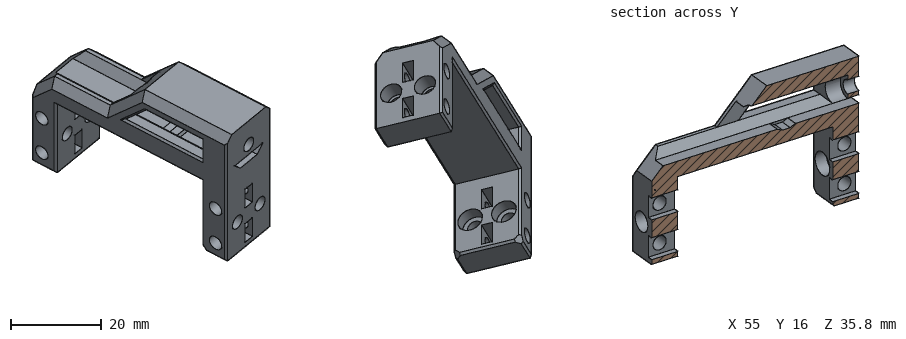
import cadquery as cq
import math

length = 55.0
width = 16.0
height = 35.8

leg_thickness = 7.0
underside_z = 20.0
deck_z = 26.0
front_bevel = 5.0
ramp_start_x = 20.7
ramp_end_x = ramp_start_x + height - deck_z
right_leg_x = length - leg_thickness

top_chamfer = 2.0
edge_chamfer = 0.5
corner_cut = 2.0
tolerance = 0.01

window_wall = 4.0
window_top_z = height - window_wall
ramp_wall_run = window_wall * math.sqrt(2)
window_start_x = ramp_start_x + ramp_wall_run
window_height = window_top_z - deck_z

trough_top_width = 10.0
trough_depth = 2.0
trough_floor_width = trough_top_width - 2 * trough_depth
trough_floor_z = deck_z - trough_depth
ramp_opening_top_z = 31.0

dip_end_x = 38.1
dip_depth = 0.65
dip_slope_run = 1.4
dip_bottom_length = 2.0

hole_diameter = 3.5
left_counterbore_diameter = 5.0
left_counterbore_depth = 4.0
right_counterbore_diameter = 5.8
right_counterbore_depth = 3.0
latch_bore_diameter = window_height
latch_bore_depth = 4.0
latch_axis_z = (deck_z + window_top_z) / 2
leg_hole_z = 9.0
leg_hole_offset_y = 4.0
cross_hole_inset = 3.0
cross_hole_heights = (4.0, 14.0)
nut_slot_width = 2.6
nut_slot_height = 5.4


def side_profile(points):
    """Extrude an XZ outline across the full width, centred on Y."""
    return cq.Workplane("XZ").polyline(points).close().extrude(width / 2, both=True)


def x_cylinder(diameter, start_x, end_x, y, z):
    """Cylinder along X between two X positions."""
    return (
        cq.Workplane("YZ", origin=(start_x, y, z))
        .circle(diameter / 2)
        .extrude(end_x - start_x)
    )


def x_box(start_x, end_x, size_y, bottom_z, top_z):
    """Box centred on Y between two X and two Z positions."""
    return (
        cq.Workplane("XY", origin=(start_x, 0, bottom_z))
        .box(end_x - start_x, size_y, top_z - bottom_z, centered=(False, True, False))
    )


def side_face_edges(body, upper):
    """Edges of both side faces whose midpoint is above, or not above, the bridge underside."""
    edges = body.faces("<Y or >Y").edges()
    return edges.filter(lambda edge: (edge.Center().z > underside_z + tolerance) == upper)


def make_bridge():
    """Two legs joined by the deck, the ramp and the raised roof, with chamfered side edges."""
    outline = [
        (0, deck_z - front_bevel),
        (front_bevel, deck_z),
        (ramp_start_x, deck_z),
        (ramp_end_x, height),
        (length, height),
        (length, 0),
        (right_leg_x + edge_chamfer, 0),
        (right_leg_x, edge_chamfer),
        (right_leg_x, underside_z),
        (leg_thickness, underside_z),
        (leg_thickness, 0),
        (0, 0),
    ]
    body = side_profile(outline)
    body = side_face_edges(body, upper=True).chamfer(top_chamfer)
    return side_face_edges(body, upper=False).chamfer(edge_chamfer)


def cut_corners(body):
    """Cut the two lower inner corners of the right leg equally along all three axes."""
    for side in (-1, 1):
        corner = cq.Vector(right_leg_x, side * width / 2, 0)
        tips = [
            corner + cq.Vector(corner_cut, 0, 0),
            corner - cq.Vector(0, side * corner_cut, 0),
            corner + cq.Vector(0, 0, corner_cut),
        ]
        triangles = [
            (tips[0], tips[1], tips[2]),
            (corner, tips[0], tips[1]),
            (corner, tips[1], tips[2]),
            (corner, tips[2], tips[0]),
        ]
        faces = [cq.Face.makeFromWires(cq.Wire.makePolygon(points, close=True)) for points in triangles]
        body = body.cut(cq.Workplane(cq.Solid.makeSolid(cq.Shell.makeShell(faces))))
    return body


def cut_window(body):
    """Open the chamfered window between the deck and the roof."""
    window = [
        (window_start_x, deck_z),
        (window_start_x + window_height, window_top_z),
        (right_leg_x, window_top_z),
        (right_leg_x, deck_z),
    ]
    body = body.cut(side_profile(window))
    rims = [face.innerWires()[0] for face in body.faces("<Y or >Y").vals()]
    rim_edges = [edge for rim in rims for edge in rim.Edges()]
    return body.newObject(rim_edges).chamfer(edge_chamfer)


def cut_trough(body):
    """Cut the sloped-side trough along the deck and the opening it needs through the ramp."""
    trough = (
        cq.Workplane("YZ")
        .polyline([
            (-trough_floor_width / 2, trough_floor_z),
            (trough_floor_width / 2, trough_floor_z),
            (trough_top_width / 2, deck_z),
            (-trough_top_width / 2, deck_z),
        ])
        .close()
        .extrude(length)
    )
    opening = x_box(0, right_leg_x, trough_top_width, deck_z, ramp_opening_top_z)
    return body.cut(trough).cut(opening)


def cut_floor_dip(body):
    """Sink a shallow dip with sloped ends into the trough floor."""
    bottom_z = trough_floor_z - dip_depth
    bottom_end_x = dip_end_x - dip_slope_run
    bottom_start_x = bottom_end_x - dip_bottom_length
    dip = (
        cq.Workplane("XZ")
        .polyline([
            (dip_end_x, trough_floor_z),
            (bottom_end_x, bottom_z),
            (bottom_start_x, bottom_z),
            (bottom_start_x - dip_slope_run, trough_floor_z),
        ])
        .close()
        .extrude(trough_floor_width / 2, both=True)
    )
    return body.cut(dip)


def cut_latch_hole(body):
    """Drill above the deck, through the ramp and the right leg, with a counterbore."""
    hole = x_cylinder(hole_diameter, 0, length, 0, latch_axis_z)
    bore = x_cylinder(latch_bore_diameter, 0, right_leg_x + latch_bore_depth, 0, latch_axis_z)
    return body.cut(hole).cut(bore)


def cut_leg_holes(body):
    """Drill the two counterbored holes that run along X through both legs."""
    right_bore_end = right_leg_x + right_counterbore_depth
    for y in (-leg_hole_offset_y, leg_hole_offset_y):
        body = body.cut(x_cylinder(hole_diameter, 0, length, y, leg_hole_z))
        body = body.cut(x_cylinder(left_counterbore_diameter, 0, left_counterbore_depth, y, leg_hole_z))
        body = body.cut(x_cylinder(right_counterbore_diameter, right_leg_x, right_bore_end, y, leg_hole_z))
    return body


def cut_cross_holes(body):
    """Drill each leg along Y and cut a nut slot along X at every hole height."""
    centers = [(x, z) for x in (cross_hole_inset, length - cross_hole_inset) for z in cross_hole_heights]
    holes = (
        cq.Workplane("XZ")
        .pushPoints(centers)
        .circle(hole_diameter / 2)
        .extrude(width / 2, both=True)
    )
    body = body.cut(holes)
    for z in cross_hole_heights:
        slot = x_box(0, length, nut_slot_width, z - nut_slot_height / 2, z + nut_slot_height / 2)
        body = body.cut(slot)
    return body


bridge = make_bridge()
bridge = cut_corners(bridge)
bridge = cut_window(bridge)
bridge = cut_trough(bridge)
bridge = cut_floor_dip(bridge)
bridge = cut_latch_hole(bridge)
bridge = cut_leg_holes(bridge)
result = cut_cross_holes(bridge)